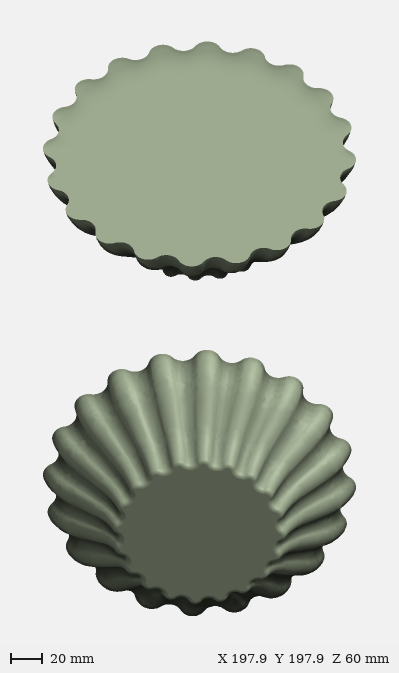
import cadquery as cq
import math

HEIGHT = 60.0
RIM_RADIUS = 98.935

LOBE_COUNT = 20
LOBE_ARC_RADIUS = 9.0
VALLEY_ARC_RADIUS = 9.0

FLANK_ANGLE = math.radians(48.0)
FLANK_BOTTOM_Z = 22.0
FLANK_TOP_Z = 38.0
UPPER_ARC_RADIUS = 42.0
LOWER_ARC_RADIUS = 48.5

BASE_FILLET = 3.0

STEPS_PER_STRETCH = 3

UPPER_CENTRE_Z = FLANK_TOP_Z + UPPER_ARC_RADIUS * math.sin(FLANK_ANGLE)
UPPER_CENTRE_X = RIM_RADIUS - math.sqrt(UPPER_ARC_RADIUS**2 - (HEIGHT - UPPER_CENTRE_Z) ** 2)
FLANK_TOP_X = UPPER_CENTRE_X + UPPER_ARC_RADIUS * math.cos(FLANK_ANGLE)
FLANK_BOTTOM_X = FLANK_TOP_X - (FLANK_TOP_Z - FLANK_BOTTOM_Z) * math.tan(FLANK_ANGLE)
LOWER_CENTRE_Z = FLANK_BOTTOM_Z - LOWER_ARC_RADIUS * math.sin(FLANK_ANGLE)
LOWER_CENTRE_X = FLANK_BOTTOM_X + LOWER_ARC_RADIUS * math.cos(FLANK_ANGLE)


def crest_radius(z):
    """Distance from the axis to the lobe crests at height z."""
    if z > FLANK_TOP_Z:
        return UPPER_CENTRE_X + math.sqrt(UPPER_ARC_RADIUS**2 - (z - UPPER_CENTRE_Z) ** 2)
    if z < FLANK_BOTTOM_Z:
        return LOWER_CENTRE_X - math.sqrt(LOWER_ARC_RADIUS**2 - (z - LOWER_CENTRE_Z) ** 2)
    return FLANK_BOTTOM_X + (z - FLANK_BOTTOM_Z) * math.tan(FLANK_ANGLE)


def fluted_wire(z):
    """Closed outline of tangent lobe and valley arcs at height z, scaled to the profile."""
    scale = crest_radius(z) / RIM_RADIUS
    half_pitch = math.pi / LOBE_COUNT

    lobe_centre = RIM_RADIUS - LOBE_ARC_RADIUS
    centre_gap = LOBE_ARC_RADIUS + VALLEY_ARC_RADIUS
    side_offset = lobe_centre * math.sin(half_pitch)
    valley_centre = lobe_centre * math.cos(half_pitch) + math.sqrt(centre_gap**2 - side_offset**2)
    valley_radius = valley_centre - VALLEY_ARC_RADIUS

    share = LOBE_ARC_RADIUS / centre_gap
    touch_x = lobe_centre + share * (valley_centre * math.cos(half_pitch) - lobe_centre)
    touch_y = share * valley_centre * math.sin(half_pitch)
    touch_radius = math.hypot(touch_x, touch_y)
    touch_angle = math.atan2(touch_y, touch_x)

    def point(radius, angle):
        return cq.Vector(scale * radius * math.cos(angle), scale * radius * math.sin(angle), z)

    edges = []
    for i in range(LOBE_COUNT):
        crest = 2 * half_pitch * i
        valley = crest + half_pitch
        lobe_start = point(touch_radius, crest - touch_angle)
        lobe_end = point(touch_radius, crest + touch_angle)
        next_start = point(touch_radius, crest + 2 * half_pitch - touch_angle)
        edges.append(cq.Edge.makeThreePointArc(lobe_start, point(RIM_RADIUS, crest), lobe_end))
        edges.append(cq.Edge.makeThreePointArc(lobe_end, point(valley_radius, valley), next_start))
    return cq.Wire.assembleEdges(edges)


def section_heights():
    """Heights of the lofted sections, evenly spaced along each profile stretch."""
    breaks = [0.0, FLANK_BOTTOM_Z, FLANK_TOP_Z, HEIGHT]
    heights = [breaks[0]]
    for low, high in zip(breaks, breaks[1:]):
        step = (high - low) / STEPS_PER_STRETCH
        heights += [low + step * (i + 1) for i in range(STEPS_PER_STRETCH)]
    return heights


def fluted_body():
    """Solid fluted bowl shape with a flat top and a flat base."""
    return cq.Workplane(cq.Solid.makeLoft([fluted_wire(z) for z in section_heights()]))


result = fluted_body().faces("<Z").edges().fillet(BASE_FILLET)